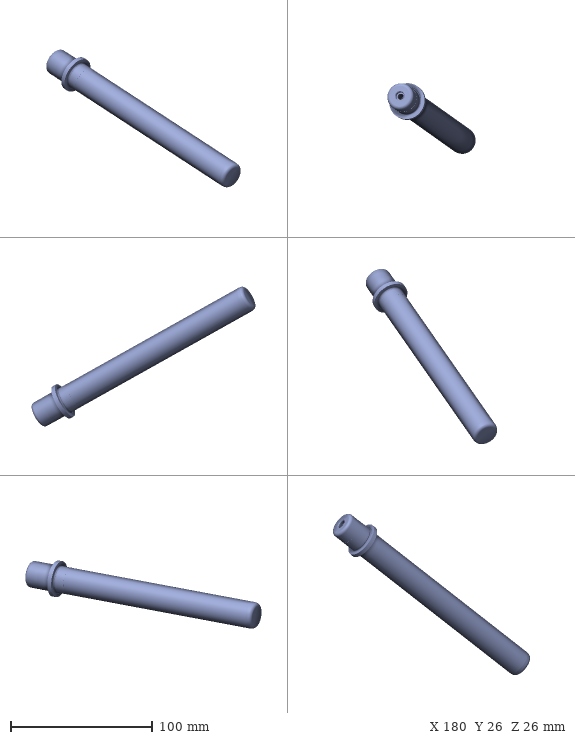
import cadquery as cq
import math

length = 180.0
shaft_radius = 9.5
spigot_end_fillet = 2.2

seat_start = 9.9
seat_end = 31.0
fit_allowance = 0.05

collar_start = 20.0
collar_width = 3.0
collar_radius = 13.0
undercut_reach = 0.9
undercut_overcut = 0.09

taper_length = 4.0
taper_angle = 6.0
tip_fillet = 2.3

mouth_radius = 3.6
bore_radius = 3.0
bore_depth = 2.5
core_radius = 2.2
core_depth = 12.6
mouth_half_angle = 45.0
drill_half_angle = 59.0

seat_radius = shaft_radius + fit_allowance
collar_end = collar_start + collar_width


def cone_length(radius_change, half_angle):
    """Axial length over which a cone changes its radius by the given amount."""
    return radius_change / math.tan(math.radians(half_angle))


def revolve_about_x(outline):
    """Turn a closed half outline into a solid of revolution about the X axis."""
    return outline.close().revolve(360, (0, 0, 0), (1, 0, 0))


def make_body():
    """Stepped pin with its collar, undercuts and rounded ends."""
    tip_radius = shaft_radius - taper_length * math.tan(math.radians(taper_angle))
    undercut_bottom = seat_radius - undercut_overcut
    undercut_top = seat_radius + undercut_reach
    outline = (
        cq.Workplane("XY")
        .lineTo(0, shaft_radius)
        .lineTo(seat_start, shaft_radius)
        .lineTo(seat_start, seat_radius)
        .lineTo(collar_start - undercut_reach, seat_radius)
        .threePointArc((collar_start + undercut_overcut, undercut_bottom), (collar_start, undercut_top))
        .lineTo(collar_start, collar_radius)
        .lineTo(collar_end, collar_radius)
        .lineTo(collar_end, undercut_top)
        .threePointArc(
            (collar_end - undercut_overcut, undercut_bottom),
            (collar_end + undercut_reach, seat_radius),
        )
        .lineTo(seat_end, seat_radius)
        .lineTo(seat_end, shaft_radius)
        .lineTo(length - taper_length, shaft_radius)
        .lineTo(length, tip_radius)
        .lineTo(length, 0)
    )
    body = revolve_about_x(outline)
    body = body.faces("<X").edges().fillet(spigot_end_fillet)
    return body.faces(">X").edges().fillet(tip_fillet)


def make_centre_hole():
    """Countersunk mouth, short relief bore and a drilled core with a conical bottom."""
    mouth_depth = cone_length(mouth_radius - bore_radius, mouth_half_angle)
    drill_tip = core_depth + cone_length(core_radius, drill_half_angle)
    outline = (
        cq.Workplane("XY")
        .lineTo(0, mouth_radius)
        .lineTo(mouth_depth, bore_radius)
        .lineTo(bore_depth, bore_radius)
        .lineTo(bore_depth, core_radius)
        .lineTo(core_depth, core_radius)
        .lineTo(drill_tip, 0)
    )
    return revolve_about_x(outline)


result = make_body().cut(make_centre_hole())